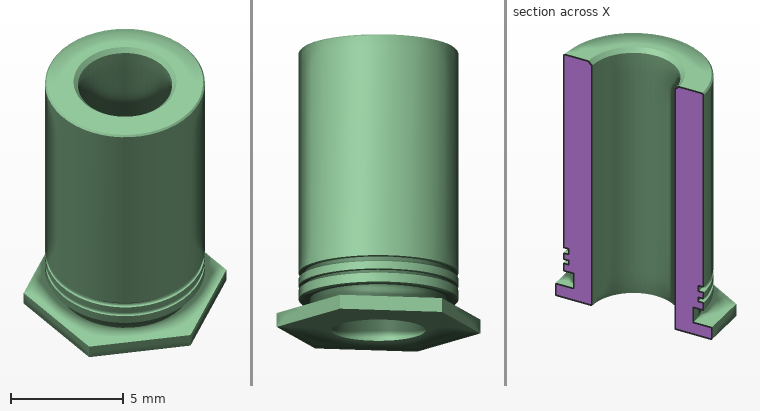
import cadquery as cq

total_height = 12.7
hex_across_corners = 9.15
hex_thickness = 0.64

body_diameter = 7.11
neck_diameter = 6.1
groove_diameter = 6.6
bore_diameter = 4.19
bore_mouth_diameter = 4.57
rim_chamfer = 0.08

neck_top = 1.4
lower_ring_top = 1.8
lower_groove_top = 2.0
upper_ring_top = 2.34
upper_groove_top = 2.6


def cylinder_between(diameter, bottom, top):
    """Solid cylinder on the Z axis between two heights."""
    return cq.Workplane("XY").workplane(offset=bottom).circle(diameter / 2).extrude(top - bottom)


hex_head = cq.Workplane("XY").polygon(6, hex_across_corners).extrude(hex_thickness)

barrel = cylinder_between(body_diameter, upper_groove_top, total_height)
barrel = barrel.faces(">Z").edges().chamfer(rim_chamfer)

shank_steps = [
    (neck_diameter, hex_thickness, neck_top),
    (body_diameter, neck_top, lower_ring_top),
    (groove_diameter, lower_ring_top, lower_groove_top),
    (body_diameter, lower_groove_top, upper_ring_top),
    (groove_diameter, upper_ring_top, upper_groove_top),
]
standoff = hex_head.union(barrel)
for diameter, bottom, top in shank_steps:
    standoff = standoff.union(cylinder_between(diameter, bottom, top))

standoff = standoff.cut(cylinder_between(bore_diameter, 0, total_height))
mouth_chamfer = (bore_mouth_diameter - bore_diameter) / 2
bore_rim = cq.selectors.RadiusNthSelector(0)
result = standoff.faces(">Z").edges(bore_rim).chamfer(mouth_chamfer)